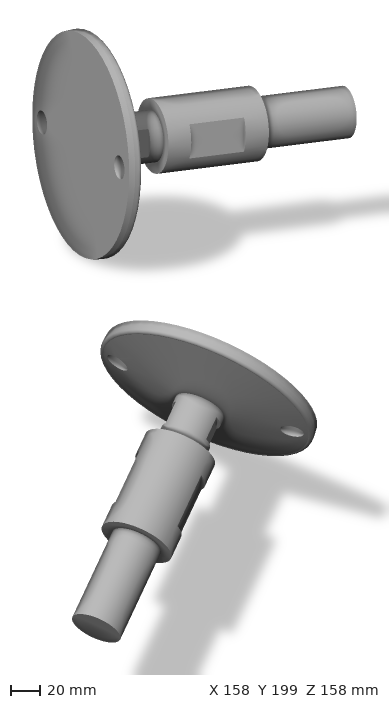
import cadquery as cq
import math

total_length = 199.0

foot_diameter = 158.0
foot_face_diameter = 157.0
rim_start = 4.4
rim_end = 7.4
cone_start = 9.5
cone_end = 19.9
cone_outer_diameter = 152.5

stem_diameter = 36.0
stem_flat_width = 30.0
stem_flat_start = 26.3
stem_flat_end = 44.0

sleeve_diameter = 52.0
sleeve_start = 54.0
sleeve_end = 129.4
sleeve_flat_width = 46.0
sleeve_flat_start = 71.0
sleeve_flat_end = 112.0

hole_diameter = 16.5
hole_offset = 62.7
cone_angle = math.atan2(cone_end - cone_start, (cone_outer_diameter - stem_diameter) / 2)


def cylinder_along_y(diameter, start, end):
    """Round bar on the Y axis between two Y positions."""
    return cq.Workplane("XZ", origin=(0, start, 0)).circle(diameter / 2).extrude(start - end)


def cut_spanner_flats(body, diameter, width, start, end):
    """Cut a pair of flats facing -X and +X."""
    depth = (diameter - width) / 2
    for side in (-1, 1):
        block = cq.Workplane("XY").box(2 * depth, end - start, diameter)
        body = body.cut(block.translate((side * (width / 2 + depth), (start + end) / 2, 0)))
    return body


def drill_mounting_holes(body):
    """Drill the two holes, leaning outward as they leave the flat face."""
    radius = hole_diameter / 2
    for side in (-1, 1):
        direction = cq.Vector(side * math.sin(cone_angle), math.cos(cone_angle), 0)
        face_center = cq.Vector(side * hole_offset, 0, 0)
        start = face_center - direction * cone_end
        drill = cq.Solid.makeCylinder(radius, 3 * cone_end, start, direction)
        body = body.cut(cq.Workplane(obj=drill))
    return body


def make_foot():
    """Foot plate with its stem, turned as one piece."""
    rim_radius = foot_diameter / 2
    cone_outer_radius = cone_outer_diameter / 2
    stem_radius = stem_diameter / 2
    foot = (
        cq.Workplane("XY")
        .lineTo(foot_face_diameter / 2, 0)
        .lineTo(rim_radius, rim_start)
        .lineTo(rim_radius, rim_end)
        .tangentArcPoint((cone_outer_radius, cone_start), relative=False)
        .lineTo(stem_radius, cone_end)
        .lineTo(stem_radius, total_length)
        .lineTo(0, total_length)
        .close()
        .revolve(360, (0, 0, 0), (0, 1, 0))
    )
    foot = drill_mounting_holes(foot)
    return cut_spanner_flats(foot, stem_diameter, stem_flat_width, stem_flat_start, stem_flat_end)


def make_sleeve():
    """Plain sleeve fitted around the stem."""
    sleeve = cylinder_along_y(sleeve_diameter, sleeve_start, sleeve_end)
    sleeve = sleeve.cut(cylinder_along_y(stem_diameter, sleeve_start, sleeve_end))
    return cut_spanner_flats(sleeve, sleeve_diameter, sleeve_flat_width, sleeve_flat_start, sleeve_flat_end)


foot = make_foot()
sleeve = make_sleeve()

result = cq.Compound.makeCompound([foot.val(), sleeve.val()])